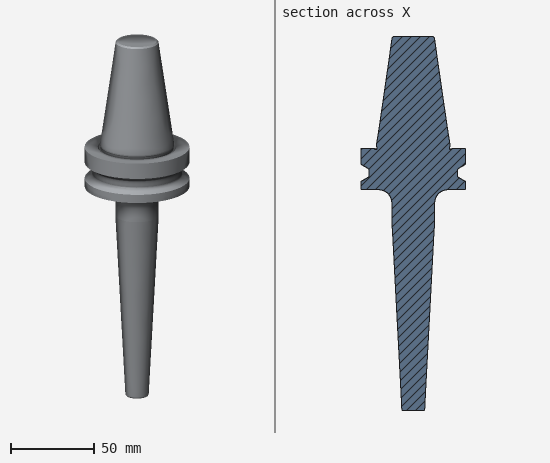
import cadquery as cq
import math

total_length = 225.5
flange_bottom = 133.0
flange_top = 158.0
gauge_height = 160.0

gauge_radius = 22.3
taper_slope = 7 / 24 / 2
shank_end_radius = gauge_radius - (total_length - gauge_height) * taper_slope
shank_chamfer = 1.0

collar_height = 0.7
relief_depth = 0.7
relief_floor = flange_top - relief_depth
relief_step = 0.2
relief_inner_radius = gauge_radius - relief_step
relief_outer_radius = 23.7
collar_bottom = gauge_height - collar_height

flange_radius = 31.5
groove_top = 148.3
groove_bottom = 138.2
groove_floor_radius = 26.8
groove_wall_angle = 30.0
groove_corner_fillet = 1.0
groove_wall_height = (flange_radius - groove_floor_radius) * math.tan(math.radians(groove_wall_angle))

neck_radius = 13.0
neck_cylinder_bottom = 114.5
neck_fillet = 7.7
tip_radius = 7.0
tip_fillet = 1.1


def revolve_profile(points):
    """Turn an outline of (radius, height) points about the Z axis."""
    return cq.Workplane("XZ").polyline(points).close().revolve(360, (0, 0, 0), (0, 1, 0))


def circle_edges(body, radius, height):
    """Select the circular edges of one radius lying at one height."""
    tolerance = 0.02

    def matches(edge):
        return (
            edge.geomType() == "CIRCLE"
            and abs(edge.radius() - radius) < tolerance
            and abs(edge.Center().z - height) < tolerance
        )

    return body.edges().filter(matches)


body = revolve_profile([
    (0, 0),
    (tip_radius, 0),
    (neck_radius, neck_cylinder_bottom),
    (neck_radius, flange_bottom),
    (flange_radius, flange_bottom),
    (flange_radius, groove_bottom),
    (groove_floor_radius, groove_bottom + groove_wall_height),
    (groove_floor_radius, groove_top - groove_wall_height),
    (flange_radius, groove_top),
    (flange_radius, flange_top),
    (relief_outer_radius, flange_top),
    (relief_outer_radius - relief_depth, relief_floor),
    (relief_inner_radius, relief_floor),
    (relief_inner_radius, collar_bottom - collar_height),
    (gauge_radius, collar_bottom),
    (gauge_radius, gauge_height),
    (shank_end_radius, total_length),
    (0, total_length),
])

body = circle_edges(body, neck_radius, flange_bottom).fillet(neck_fillet)
for height in (groove_bottom + groove_wall_height, groove_top - groove_wall_height):
    body = circle_edges(body, groove_floor_radius, height).fillet(groove_corner_fillet)
body = circle_edges(body, tip_radius, 0).fillet(tip_fillet)

result = circle_edges(body, shank_end_radius, total_length).chamfer(shank_chamfer)